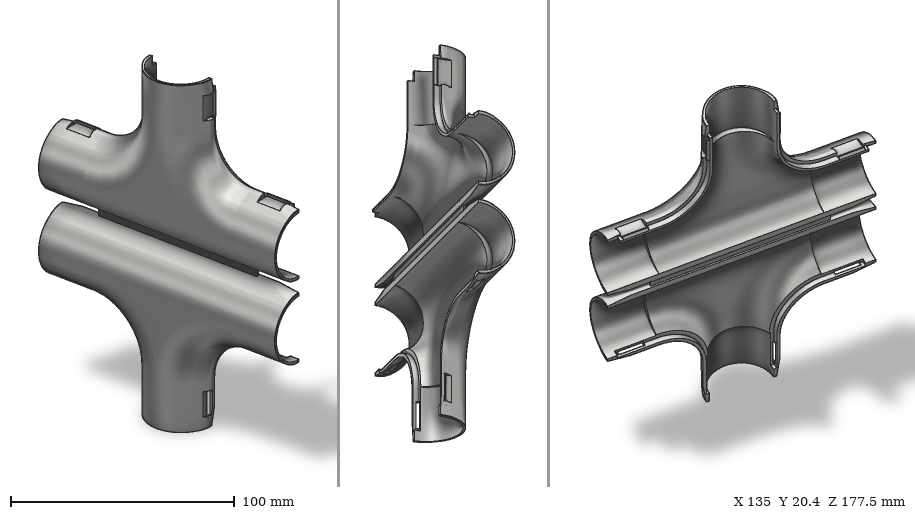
import cadquery as cq
import math


total_height = 177.51
arm_length = 67.5
bend_radius = 41.5
axis_height = total_height / 2 - arm_length

outer_radius = 17.4
edge_half_width = 19.4
flank_angle = math.radians(33.2)
upright_height = 0.95
end_chamfer = 0.2

socket_radius = 16.2
passage_depth = 13.5

taper_length = 11.5
taper_end_half_width = 17.7

lip_height = 3.0
lip_thickness = 1.3
lip_outer = socket_radius + lip_thickness
lip_end_gap = 5.1

groove_depth = 2.8
groove_gap = 0.2

latch_start = 6.7
latch_length = 12.9
latch_half_width = 17.2
latch_depth = 8.0
hook_base = 1.5
hook_crest = 2.0
hook_half_width = 18.6
window_edge = 1.4

web_length = 90.4
web_back = -0.9
web_thickness = 1.3

clearance = 1.0


def half_section(plane, half_width):
    """Half of the arm's outer section: local x is the distance from the arm axis, local y is Y."""
    tangent = (outer_radius * math.cos(flank_angle), -outer_radius * math.sin(flank_angle))
    mid_angle = (math.pi / 2 + flank_angle) / 2
    mid_back = (outer_radius * math.cos(mid_angle), -outer_radius * math.sin(mid_angle))
    corner_depth = (outer_radius - half_width * math.cos(flank_angle)) / math.sin(flank_angle)
    round_reach = corner_depth - upright_height
    edge_round = round_reach / math.tan(flank_angle / 2)
    round_start = (
        half_width - round_reach * math.sin(flank_angle),
        -corner_depth - round_reach * math.cos(flank_angle),
    )
    round_mid = (
        half_width - edge_round * (1 - math.cos(flank_angle / 2)),
        -upright_height - edge_round * math.sin(flank_angle / 2),
    )
    round_end = (half_width, -upright_height)
    return (
        plane.moveTo(0, 0)
        .lineTo(0, -outer_radius)
        .threePointArc(mid_back, tangent)
        .lineTo(*round_start)
        .threePointArc(round_mid, round_end)
        .lineTo(half_width, 0)
        .close()
    )


def full_half_section(plane):
    return half_section(plane, edge_half_width)


def passage_half_section(plane):
    """Half of the passage section below the split plane, in the same axes as half_section."""
    floor_radius = (socket_radius**2 + passage_depth**2) / (2 * passage_depth)
    half_angle = math.asin(socket_radius / floor_radius) / 2
    floor_mid = (
        floor_radius * math.sin(half_angle),
        floor_radius * (1 - math.cos(half_angle)) - passage_depth,
    )
    return (
        plane.moveTo(0, 0)
        .lineTo(0, -passage_depth)
        .threePointArc(floor_mid, (socket_radius, 0))
        .close()
    )


def lip_section(plane):
    return plane.moveTo(socket_radius, 0).rect(lip_thickness, lip_height, centered=False)


def groove_section(plane):
    """Section of the groove, which is open towards the hollow."""
    groove_inner = socket_radius - lip_thickness
    groove_width = lip_outer + groove_gap - groove_inner
    return plane.moveTo(groove_inner, -groove_depth).rect(groove_width, groove_depth, centered=False)


def section_plane(height):
    """Plane square to an arm that points along +Z."""
    return cq.Workplane("XY", origin=(0, 0, height))


def both_sides(body):
    return body.union(body.mirror("YZ"))


def bend(section):
    """Quarter bend of a section, from an arm along +Z to an arm along +X."""
    return section(section_plane(bend_radius)).revolve(90, (bend_radius, 1), (bend_radius, 0))


def bend_fill(depth):
    """Flat-backed fill between the arm axes and the bend."""
    mid_reach = bend_radius * (1 - math.sqrt(0.5))
    return (
        cq.Workplane("XZ")
        .moveTo(0, 0)
        .lineTo(bend_radius, 0)
        .threePointArc((mid_reach, mid_reach), (0, bend_radius))
        .close()
        .extrude(depth)
    )


def on_all_arms(upward_arm):
    """Union of an arm feature built along +Z and its copies along +X and -X."""
    right_arm = upward_arm.rotate((0, 0, 0), (0, 1, 0), 90)
    return upward_arm.union(both_sides(right_arm))


def outer_arm():
    """Solid arm along +Z, its edges tapered over the last stretch."""
    straight_length = arm_length - taper_length
    straight = full_half_section(section_plane(0)).extrude(straight_length)
    start_wire = full_half_section(section_plane(straight_length)).val()
    end_wire = half_section(section_plane(arm_length), taper_end_half_width).val()
    tapered = cq.Workplane(cq.Solid.makeLoft([start_wire, end_wire], True))
    arm = both_sides(straight).union(both_sides(tapered))
    return arm.faces(">Z").edges("not >Y").chamfer(end_chamfer)


def socket():
    return section_plane(bend_radius).circle(socket_radius).extrude(arm_length - bend_radius)


def shell():
    """Plain hollow tee with its branch along +Z and its crossing at the origin."""
    outer = on_all_arms(outer_arm())
    outer = outer.union(both_sides(bend(full_half_section))).union(both_sides(bend_fill(outer_radius)))
    passage_arm = both_sides(passage_half_section(section_plane(0)).extrude(bend_radius))
    hollow = on_all_arms(passage_arm).union(on_all_arms(socket()))
    hollow = hollow.union(both_sides(bend(passage_half_section)))
    hollow = hollow.union(both_sides(bend_fill(passage_depth)))
    return outer.cut(hollow)


def outer_edges(feature):
    """Copies of a feature of the branch's +X edge on the four edges next to the bends."""
    mirrored = feature.mirror("XY").rotate((0, 0, 0), (0, 1, 0), -90)
    return both_sides(feature.union(mirrored))


def latch_flat(top_y):
    """Block whose inner side leaves a latch flat on the branch's +X edge."""
    return (
        section_plane(arm_length - latch_start - latch_length)
        .moveTo(latch_half_width, -latch_depth)
        .rect(edge_half_width - latch_half_width + clearance, top_y + latch_depth, centered=False)
        .extrude(latch_length)
    )


def hook():
    return (
        section_plane(arm_length - latch_start - latch_length)
        .moveTo(socket_radius, hook_base)
        .lineTo(hook_half_width, hook_base)
        .lineTo(hook_half_width, hook_crest)
        .lineTo(lip_outer, lip_height)
        .lineTo(socket_radius, lip_height)
        .close()
        .extrude(latch_length)
    )


def edge_strip(section):
    """Strip along all outer edges of the tee: both bends and the arms up to the end gap."""
    on_arm = section(section_plane(bend_radius)).extrude(arm_length - lip_end_gap - bend_radius)
    return outer_edges(on_arm).union(both_sides(bend(section)))


def upper_tee():
    tee = shell().union(edge_strip(lip_section))
    return tee.cut(outer_edges(latch_flat(hook_base))).union(outer_edges(hook()))


def lower_tee():
    tee = shell().cut(edge_strip(groove_section))
    return tee.cut(outer_edges(latch_flat(-window_edge))).mirror("XY")


def web():
    reach = axis_height - (socket_radius + edge_half_width) / 2
    return cq.Workplane("XY").box(web_length, web_thickness, 2 * reach).translate(
        (0, web_back - web_thickness / 2, 0)
    )


result = (
    upper_tee()
    .translate((0, 0, axis_height))
    .union(lower_tee().translate((0, 0, -axis_height)))
    .union(web())
)